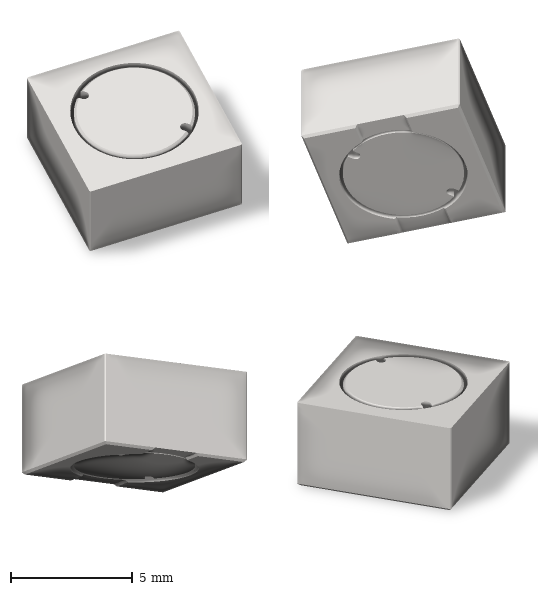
import cadquery as cq

side = 6.8
total_height = 3.8
pad_thickness = 0.1
corner_chamfer = 0.05

bore_diameter = 5.3
core_diameter = 5.0
core_chamfer = 0.1

notch_width = 0.4
notch_center_radius = 2.25
notch_angles = (45, 225)

pad_gap = 2.0

housing_height = total_height - pad_thickness


def make_bore():
    """Cylinder that clears the housing and the pads over the full height."""
    return cq.Workplane("XY").circle(bore_diameter / 2).extrude(total_height)


def make_housing():
    """Square block with beveled upright corners and a round through bore."""
    block = (
        cq.Workplane("XY")
        .workplane(offset=pad_thickness)
        .rect(side, side)
        .extrude(housing_height)
        .edges("|Z")
        .chamfer(corner_chamfer)
    )
    return block.cut(make_bore())


def make_notch(angle):
    """Round-ended notch that opens outward through the rim of the core."""
    round_end = (
        cq.Workplane("XY")
        .center(notch_center_radius, 0)
        .circle(notch_width / 2)
        .extrude(total_height)
    )
    open_length = bore_diameter / 2 - notch_center_radius
    opening = (
        cq.Workplane("XY")
        .center(notch_center_radius + open_length / 2, 0)
        .rect(open_length, notch_width)
        .extrude(total_height)
    )
    return round_end.union(opening).rotate((0, 0, 0), (0, 0, 1), angle)


def make_core():
    """Cylinder level with the housing, with a beveled top rim and two notches."""
    core = (
        cq.Workplane("XY")
        .workplane(offset=pad_thickness)
        .circle(core_diameter / 2)
        .extrude(housing_height)
        .faces(">Z")
        .chamfer(core_chamfer)
    )
    for angle in notch_angles:
        core = core.cut(make_notch(angle))
    return core


def make_pad(direction):
    """Thin plate under one end of the housing, 45 degree sides, clear of the bore."""
    pad_length = (side - pad_gap) / 2
    pad_center = direction * (side + pad_gap) / 4
    bottom_inset = 2 * pad_thickness
    plate = (
        cq.Workplane("XY")
        .center(pad_center, 0)
        .rect(pad_length - bottom_inset, side - bottom_inset)
        .workplane(offset=pad_thickness)
        .rect(pad_length, side)
        .loft(ruled=True)
    )
    return plate.cut(make_bore())


housing = make_housing().solids()
core = make_core().solids()
pads = [make_pad(direction).solids() for direction in (-1, 1)]

result = cq.Compound.makeCompound([housing.val(), core.val(), *[pad.val() for pad in pads]])